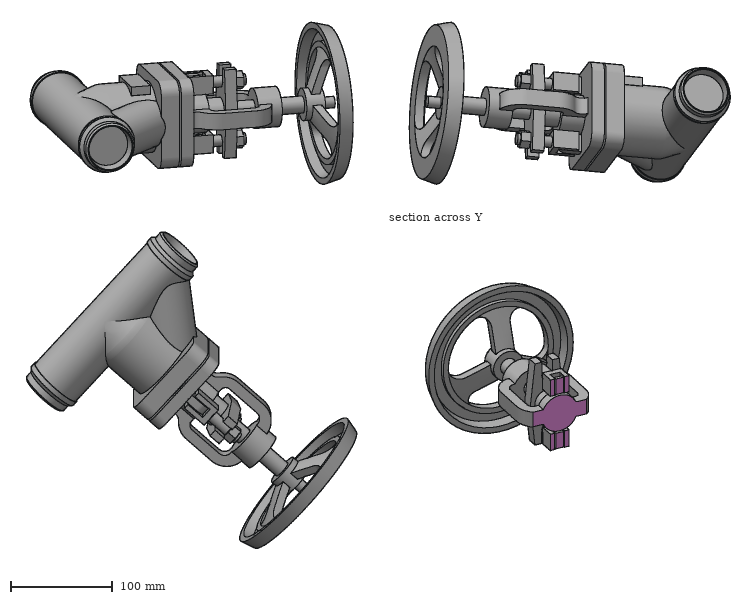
import cadquery as cq
import math


pipe_length = 200.0
pipe_radius = 27.3
collar_radius = 28.15
end_radius = 24.8
end_chamfer = 1.8
collar_start = 82.7
collar_end = 88.0
shoulder_middle = 89.7
shoulder_middle_radius = 26.3
shoulder_end = 91.5
bore_mouth_radius = 22.0
bore_floor_radius = 20.3
bore_depth = 10.0

body_radius = 35.6
body_cone_angle = math.radians(20.4)
body_blend_radius = 19.5
branch_radius = 24.4
branch_slope = math.radians(49.2)
branch_pipe_point = (70.0, 5.0)
branch_length = 82.0

plate_width = 43.6
plate_y = (43.7, 63.4)
plate_z = (28.7, 37.7)

flange_width = 88.8
flange_corner_radius = 13.0
body_flange_y = (67.9, 86.5)
bonnet_flange_y = (88.4, 101.1)
gasket_radius = 36.5

yoke_thickness = 16.7
yoke_half_width = 38.4
yoke_opening_half_width = 27.7
yoke_outer_radius = 22.4
yoke_top = 188.2
yoke_lower_bend_y = 132.1
yoke_neck_radius = 8.5
yoke_bend_angle = math.radians(51.7)
opening_y = (124.4, 174.5)
opening_top_radius = 8.3
opening_bottom_radius = 6.0
boss_radius = 20.0
yoke_boss_top = 198.7

gland_radius = 13.45
bridge_y = (141.4, 153.4)
bridge_half_length = 45.2
bridge_middle_half_width = 18.5
bridge_end_half_width = 13.4
stud_radius = 5.75
stud_z = 30.2
stud_top = 166.0
nut_corner_diameter = 18.5
nut_top = 163.1
eye_y = (105.0, 131.0)
eye_width = 20.7
eye_depth = 18.6
eye_slot_width = 10.6
eye_slot_top = 124.4
lug_thickness = 8.8
lug_radius = 8.9
lug_centre_y = 115.2

spindle_radius = 8.5
spindle_tip_radius = 5.75
overall_y = 285.03
spindle_top = overall_y - collar_radius
wheel_y = (240.3, 255.0)
wheel_radius = 80.0
wheel_back_radius = 76.2
rim_lip_radius = 73.8
rim_groove_outer_radius = 71.3
rim_groove_inner_radius = 61.0
rim_groove_depth = 10.0
window_radius = 55.2
window_corner_radius = 11.0
hub_radius = 16.15
hub_y = (224.8, 244.0)
spoke_count = 3
spoke_half_width = 10.3
dish_front_y = 231.0
dish_slope = 0.38
dish_thickness = 9.0
web_inner_radius = 11.0
window_inner_radius = 13.0


def cylinder_y(radius, y_start, y_end, z=0.0):
    """Cylinder along Y, centred on X = 0."""
    start = cq.Workplane("XZ", origin=(0, y_start, z))
    return start.circle(radius).extrude(y_start - y_end)


def block(width, y_range, z_range):
    """Box centred on X = 0 between the given Y and Z limits."""
    y_low, y_high = y_range
    z_low, z_high = z_range
    box = cq.Workplane("XY").box(width, y_high - y_low, z_high - z_low)
    return box.translate((0, (y_low + y_high) / 2, (z_low + z_high) / 2))


def revolve_about_y(profile):
    return profile.close().revolve(360, (0, 0, 0), (0, 1, 0))


def pipe_run():
    half = pipe_length / 2
    half_profile = [
        (0, pipe_radius),
        (collar_start, pipe_radius),
        (collar_start, collar_radius),
        (collar_end, collar_radius),
        (shoulder_middle, shoulder_middle_radius),
        (shoulder_end, end_radius),
        (half - end_chamfer, end_radius),
        (half, end_radius - end_chamfer),
        (half, bore_mouth_radius),
        (half - bore_depth, bore_floor_radius),
        (half - bore_depth, 0),
    ]
    mirrored = [(-x, radius) for x, radius in reversed(half_profile[1:])]
    outline = cq.Workplane("XY").polyline(mirrored + half_profile).close()
    return outline.revolve(360, (0, 0, 0), (1, 0, 0))


def body():
    """Cylinder tapering into a cone that touches the sphere inscribed in the pipe."""
    slope = math.tan(body_cone_angle)
    radius_at_pipe_axis = pipe_radius / math.cos(body_cone_angle)
    corner_y = (body_radius - radius_at_pipe_axis) / slope
    tangent = body_blend_radius * math.tan(body_cone_angle / 2)
    blend_end = (
        body_radius - tangent * math.sin(body_cone_angle),
        corner_y - tangent * math.cos(body_cone_angle),
    )
    cone_end = (pipe_radius * math.cos(body_cone_angle), -pipe_radius * math.sin(body_cone_angle))
    profile = (
        cq.Workplane("XY")
        .moveTo(0, body_flange_y[0])
        .lineTo(body_radius, body_flange_y[0])
        .lineTo(body_radius, corner_y + tangent)
        .tangentArcPoint(blend_end, relative=False)
        .lineTo(*cone_end)
        .lineTo(0, cone_end[1])
    )
    return revolve_about_y(profile)


def branch():
    """Sloping passage from the +X end of the pipe up to the body flange."""
    direction = cq.Vector(-math.cos(branch_slope), math.sin(branch_slope), 0)
    start = cq.Vector(*branch_pipe_point, 0)
    return cq.Workplane(cq.Solid.makeCylinder(branch_radius, branch_length, start, direction))


def flange(y_range):
    half = flange_width / 2
    return block(flange_width, y_range, (-half, half)).edges("|Y").fillet(flange_corner_radius)


def yoke_side():
    """Right half of the yoke outline, before the opening is cut."""
    bend_x = yoke_half_width - yoke_outer_radius
    bend_top_y = yoke_top - yoke_outer_radius
    base_y = bonnet_flange_y[1]
    diagonal = math.sqrt(0.5)
    reach = yoke_outer_radius + yoke_neck_radius
    neck_centre = (
        bend_x + reach * math.cos(yoke_bend_angle),
        yoke_lower_bend_y - reach * math.sin(yoke_bend_angle),
    )
    meeting = (
        bend_x + yoke_outer_radius * math.cos(yoke_bend_angle),
        yoke_lower_bend_y - yoke_outer_radius * math.sin(yoke_bend_angle),
    )
    foot_x = neck_centre[0] - math.sqrt(yoke_neck_radius**2 - (neck_centre[1] - base_y) ** 2)
    return (
        cq.Workplane("XY", origin=(0, 0, -yoke_thickness / 2))
        .moveTo(0, yoke_top)
        .lineTo(bend_x, yoke_top)
        .threePointArc(
            (bend_x + yoke_outer_radius * diagonal, bend_top_y + yoke_outer_radius * diagonal),
            (yoke_half_width, bend_top_y),
        )
        .lineTo(yoke_half_width, yoke_lower_bend_y)
        .tangentArcPoint(meeting, relative=False)
        .threePointArc((neck_centre[0] - yoke_neck_radius, neck_centre[1]), (foot_x, base_y))
        .lineTo(0, base_y)
        .close()
        .extrude(yoke_thickness)
    )


def yoke():
    side = yoke_side()
    opening = block(2 * yoke_opening_half_width, opening_y, (-yoke_thickness, yoke_thickness))
    opening = opening.edges("|Z and >Y").fillet(opening_top_radius)
    opening = opening.edges("|Z and <Y").fillet(opening_bottom_radius)
    arms = side.union(side.mirror("YZ")).cut(opening)
    lower_boss = cylinder_y(boss_radius, bonnet_flange_y[1], opening_y[0])
    upper_boss = cylinder_y(boss_radius, opening_y[1], yoke_boss_top)
    return arms.union(lower_boss).union(upper_boss)


def gland_bridge():
    """Tapered bar along Z with a slot in each end that reaches in to the stud axis."""
    thickness = bridge_y[1] - bridge_y[0]
    outline = [
        (bridge_middle_half_width, 0),
        (bridge_end_half_width, bridge_half_length),
        (-bridge_end_half_width, bridge_half_length),
        (-bridge_middle_half_width, 0),
        (-bridge_end_half_width, -bridge_half_length),
        (bridge_end_half_width, -bridge_half_length),
    ]
    bar = cq.Workplane("XZ", origin=(0, bridge_y[0], 0)).polyline(outline).close().extrude(-thickness)
    for side in (-1, 1):
        z_limits = sorted((side * stud_z, side * (bridge_half_length + stud_radius)))
        bar = bar.cut(block(2 * stud_radius, bridge_y, z_limits))
    return bar


def eye_stud(z):
    """Stud and nut above a slotted eye block, with the round lug that stands in the slot."""
    stud = cylinder_y(stud_radius, eye_slot_top, stud_top, z)
    nut = (
        cq.Workplane("XZ", origin=(0, bridge_y[1], z))
        .transformed(rotate=(0, 0, 90))
        .polygon(6, nut_corner_diameter)
        .extrude(bridge_y[1] - nut_top)
    )
    z_limits = (z - eye_depth / 2, z + eye_depth / 2)
    eye = block(eye_width, eye_y, z_limits)
    eye = eye.cut(block(eye_slot_width, (eye_y[0], eye_slot_top), z_limits))
    lug_base = block(lug_thickness, (bonnet_flange_y[1], lug_centre_y), (z - lug_radius, z + lug_radius))
    lug_head = (
        cq.Workplane("YZ", origin=(-lug_thickness / 2, lug_centre_y, z))
        .circle(lug_radius)
        .extrude(lug_thickness)
    )
    return eye.union(stud).union(nut).union(lug_base).union(lug_head)


def spindle():
    shaft = cylinder_y(spindle_radius, opening_y[0], hub_y[1])
    tip = cylinder_y(spindle_tip_radius, hub_y[1], spindle_top)
    return shaft.union(tip)


def web_front(radius):
    """Y of the front of the dished web at the given distance from the spindle axis."""
    return dish_front_y + dish_slope * (radius - hub_radius)


def wheel_rim():
    front, back = wheel_y
    floor = front + rim_groove_depth
    profile = cq.Workplane("XY").polyline([
        (wheel_radius, front),
        (wheel_back_radius, back),
        (window_radius, back),
        (window_radius, web_front(window_radius)),
        (rim_groove_inner_radius, web_front(window_radius)),
        (rim_groove_inner_radius, floor),
        (rim_groove_outer_radius, floor),
        (rim_lip_radius, front),
    ])
    return revolve_about_y(profile)


def wheel_window():
    """Opening between the spokes at 0 and 120 degrees, as a prism through the wheel."""
    half_pitch = math.pi / spoke_count

    def polar(radius, angle):
        return (radius * math.cos(angle), radius * math.sin(angle))

    def opposite(point):
        return polar(math.hypot(*point), 2 * half_pitch - math.atan2(point[1], point[0]))

    corner_y = spoke_half_width + window_corner_radius
    corner_reach = window_radius - window_corner_radius
    corner_angle = math.asin(corner_y / corner_reach)
    corner_x = corner_reach * math.cos(corner_angle)
    side_inner = (math.sqrt(window_inner_radius**2 - spoke_half_width**2), spoke_half_width)
    side_outer = (corner_x, spoke_half_width)
    rim_point = polar(window_radius, corner_angle)
    turn = (corner_angle - math.pi / 2) / 2
    corner_middle = (
        corner_x + window_corner_radius * math.cos(turn),
        corner_y + window_corner_radius * math.sin(turn),
    )
    return (
        cq.Workplane("XZ", origin=(0, hub_y[0], 0))
        .moveTo(*side_inner)
        .lineTo(*side_outer)
        .threePointArc(corner_middle, rim_point)
        .threePointArc(polar(window_radius, half_pitch), opposite(rim_point))
        .threePointArc(opposite(corner_middle), opposite(side_outer))
        .lineTo(*opposite(side_inner))
        .threePointArc(polar(window_inner_radius, half_pitch), side_inner)
        .close()
        .extrude(hub_y[0] - spindle_top)
    )


def handwheel():
    """Rim, dished web with three windows, and hub. The first spoke points to +Z."""
    inner_front = web_front(web_inner_radius)
    outer_front = web_front(window_radius)
    web = revolve_about_y(cq.Workplane("XY").polyline([
        (web_inner_radius, inner_front),
        (window_radius, outer_front),
        (window_radius, outer_front + dish_thickness),
        (web_inner_radius, inner_front + dish_thickness),
    ]))
    window = wheel_window()
    for index in range(spoke_count):
        angle = 90 + index * 360 / spoke_count
        web = web.cut(window.rotate((0, 0, 0), (0, 1, 0), -angle))
    return web.union(cylinder_y(hub_radius, *hub_y)).union(wheel_rim())


def name_plate():
    return block(plate_width, plate_y, plate_z)


result = pipe_run().union(body()).union(branch())
result = result.union(name_plate())
result = result.union(flange(body_flange_y)).union(flange(bonnet_flange_y))
result = result.union(cylinder_y(gasket_radius, body_flange_y[1], bonnet_flange_y[0]))
result = result.union(yoke()).union(spindle())
result = result.union(cylinder_y(gland_radius, opening_y[0], bridge_y[0]))
result = result.union(gland_bridge())
for stud_side in (-1, 1):
    result = result.union(eye_stud(stud_side * stud_z))
result = result.union(handwheel())